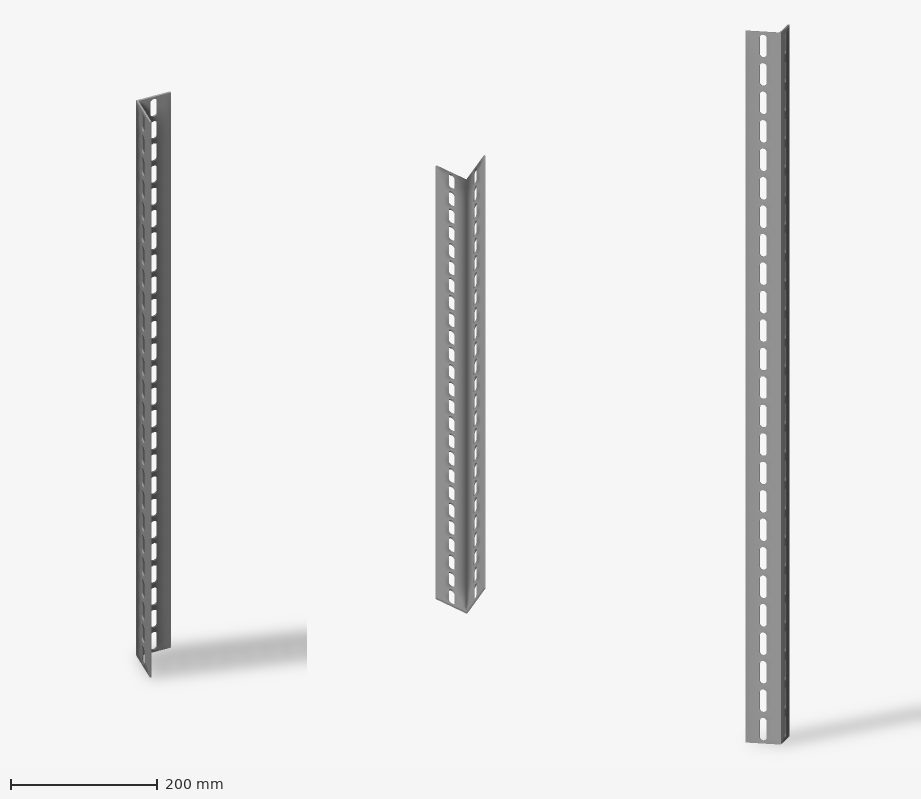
import cadquery as cq

length = 1000.0
leg = 50.0
thickness = 2.5

slot_length = 32.0
slot_width = 10.0
slot_pitch = 40.0
slot_count = 25
slot_offset = leg / 2


def angle_profile():
    """L-shaped bar standing along Z with its outer corner on the Z axis."""
    return (
        cq.Workplane("XY")
        .polyline(
            [
                (0, 0),
                (leg, 0),
                (leg, thickness),
                (thickness, thickness),
                (thickness, leg),
                (0, leg),
            ]
        )
        .close()
        .extrude(length)
    )


def slot_row(plane):
    """Row of upright round-ended slot cutters, centred on the bar length."""
    centre = (slot_offset, slot_offset, length / 2)
    return (
        cq.Workplane(plane, origin=centre)
        .rarray(slot_pitch, slot_pitch, 1, slot_count)
        .slot2D(slot_length, slot_width, 90)
        .extrude(leg, both=True)
    )


front_leg_slots = slot_row("XZ")
left_leg_slots = slot_row("YZ")
result = angle_profile().cut(front_leg_slots).cut(left_leg_slots)